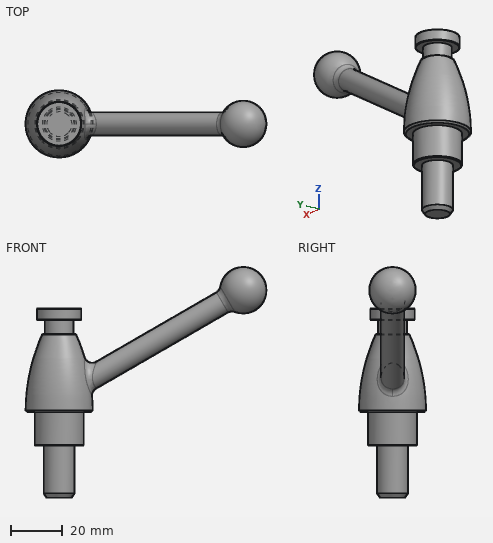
import cadquery as cq
import math

stud_diameter = 12.0
stud_length = 20.0
stud_tip_diameter = 9.6
stud_tip_height = 1.7

collar_diameter = 19.0
collar_length = 13.0
collar_chamfer = 0.4

hub_diameter = 26.0
hub_height = 30.3
hub_bulge_radius = 73.0
hub_bottom_chamfer = 0.8
hub_top_chamfer = 0.4

neck_diameter = 11.2
neck_length = 5.2
button_diameter = 17.2
button_chamfer = 0.25
button_top = 73.0

arm_diameter = 9.0
arm_angle = math.radians(30.0)
arm_hub_fillet = 3.0
ball_diameter = 18.0
arm_ball_fillet = 3.0
overall_length = 92.92
overall_height = 89.0

hub_bottom = stud_length + collar_length
hub_top = hub_bottom + hub_height
button_bottom = hub_top + neck_length

ball_x = overall_length - (hub_diameter + ball_diameter) / 2
ball_z = overall_height - ball_diameter / 2
arm_start_z = ball_z - ball_x * math.tan(arm_angle)
arm_length = ball_x / math.cos(arm_angle)

hub_joint_corners = ((1, -8, hub_bottom + 2), (20, 8, hub_top - 2))
ball_joint_corners = ((55, -8, 60), (69, 8, 85))
hub_rim_corners = ((-13, -13, hub_top - 0.1), (13, 13, hub_top + 0.1))


def hub_radius_at(height):
    """Radius of the bulged hub side at a height above the hub bottom."""
    inset = hub_bulge_radius - math.sqrt(hub_bulge_radius**2 - height**2)
    return hub_diameter / 2 - inset


def edges_in_box(body, corners):
    return body.edges(cq.selectors.BoxSelector(*corners))


def make_cylinder(diameter, bottom, length):
    return cq.Workplane("XY").workplane(offset=bottom).circle(diameter / 2).extrude(length)


def make_hub():
    """Revolved hub with its bottom chamfer; the top rim is still sharp."""
    mid_height = hub_height / 2
    profile = (
        cq.Workplane("XZ")
        .moveTo(0, hub_bottom)
        .lineTo(hub_diameter / 2 - hub_bottom_chamfer, hub_bottom)
        .lineTo(hub_diameter / 2, hub_bottom + hub_bottom_chamfer)
        .threePointArc(
            (hub_radius_at(mid_height), hub_bottom + mid_height),
            (hub_radius_at(hub_height), hub_top),
        )
        .lineTo(0, hub_top)
        .close()
    )
    return profile.revolve(360, (0, 0), (0, 1))


def make_arm():
    start = cq.Vector(0, 0, arm_start_z)
    direction = cq.Vector(ball_x, 0, ball_z - arm_start_z)
    return cq.Workplane(cq.Solid.makeCylinder(arm_diameter / 2, arm_length, start, direction))


def make_lever():
    """Hub, arm and ball in one body, with both arm ends blended."""
    ball = cq.Workplane("XY").sphere(ball_diameter / 2).translate((ball_x, 0, ball_z))
    lever = make_hub().union(make_arm()).union(ball)
    lever = edges_in_box(lever, hub_joint_corners).fillet(arm_hub_fillet)
    lever = edges_in_box(lever, ball_joint_corners).fillet(arm_ball_fillet)
    return edges_in_box(lever, hub_rim_corners).chamfer(hub_top_chamfer)


def make_stud():
    tip_inset = (stud_diameter - stud_tip_diameter) / 2
    stud = make_cylinder(stud_diameter, 0, stud_length)
    return stud.faces("<Z").chamfer(stud_tip_height, tip_inset)


def make_collar():
    collar = make_cylinder(collar_diameter, stud_length, collar_length)
    return collar.faces("<Z").chamfer(collar_chamfer)


def make_neck():
    return make_cylinder(neck_diameter, hub_top, neck_length)


def make_button():
    button = make_cylinder(button_diameter, button_bottom, button_top - button_bottom)
    return button.edges().chamfer(button_chamfer)


result = (
    make_lever()
    .union(make_collar())
    .union(make_stud())
    .union(make_neck())
    .union(make_button())
)